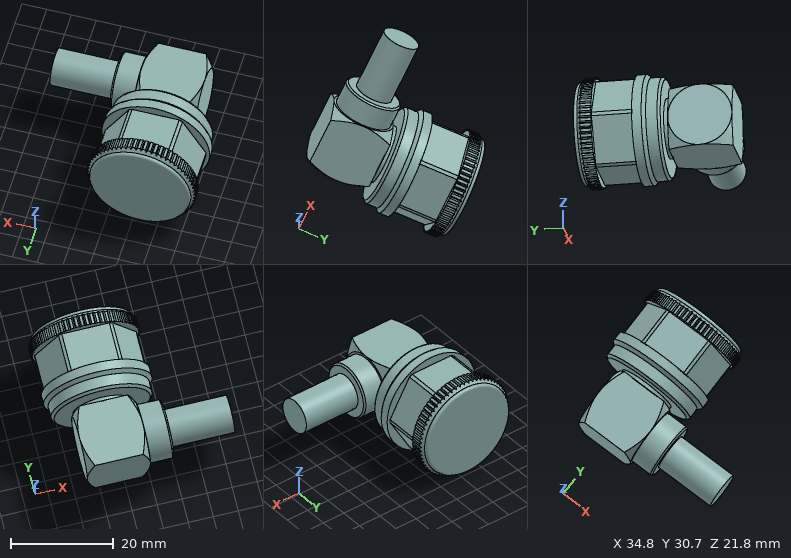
import cadquery as cq
import math


overall_length = 34.75

block_side = 12.7
corner_cone_angle = 30.0
neck_radius = 5.9
neck_length = 0.87
collar_radius = 5.85
collar_end_x = 11.2
collar_chamfer = 0.35
ferrule_radius = 3.75

nut_diameter = 21.8
nose_radius = 10.15
nose_length = 2.78
nose_chamfer = 0.52
flange_length = 2.65
hex_length = 8.05
hex_across_flats = 18.0
hex_corner_radius = 10.2
knurl_length = 2.15
lip_radius = 10.2
lip_length = 0.8
lip_fillet = 0.52
groove_count = 65
groove_depth = 0.28
groove_width = 0.5

half_block = block_side / 2
nut_radius = nut_diameter / 2
ferrule_end_x = overall_length - nut_radius
nut_start_y = half_block + neck_length
nose_end_y = nut_start_y + nose_length
hex_start_y = nose_end_y + flange_length
knurl_start_y = hex_start_y + hex_length
knurl_end_y = knurl_start_y + knurl_length
cone_end_y = knurl_end_y + nut_radius - lip_radius
nut_end_y = cone_end_y + lip_length


def disc_along_y(start, end, radius):
    """Cylinder on the Y axis."""
    return cq.Workplane("XZ", origin=(0, start, 0)).circle(radius).extrude(start - end)


def disc_along_x(start, end, radius):
    """Cylinder on the X axis."""
    return cq.Workplane("YZ", origin=(start, 0, 0)).circle(radius).extrude(end - start)


def make_block():
    """Cube whose two X ends are turned to a cone that leaves a round face on each."""
    corner_radius = half_block * math.sqrt(2)
    cone_depth = (corner_radius - half_block) * math.tan(math.radians(corner_cone_angle))
    envelope = (
        cq.Workplane("XY")
        .moveTo(-half_block, 0)
        .lineTo(-half_block, half_block)
        .lineTo(-half_block + cone_depth, corner_radius)
        .lineTo(half_block - cone_depth, corner_radius)
        .lineTo(half_block, half_block)
        .lineTo(half_block, 0)
        .close()
        .revolve(360, (0, 0, 0), (1, 0, 0))
    )
    return cq.Workplane("XY").box(block_side, block_side, block_side).intersect(envelope)


def make_elbow():
    """Block with the neck, the collar and the cable ferrule."""
    neck = disc_along_y(half_block, nut_start_y, neck_radius)
    collar = disc_along_x(half_block, collar_end_x, collar_radius).faces(">X").chamfer(collar_chamfer)
    ferrule = disc_along_x(collar_end_x, ferrule_end_x, ferrule_radius)
    return make_block().union(neck).union(collar).union(ferrule)


def make_nose():
    """Chamfered nose and the flange it widens into through a 45 degree cone."""
    flange_step = nut_radius - nose_radius
    return (
        cq.Workplane("XY")
        .moveTo(0, nut_start_y)
        .lineTo(nose_radius - nose_chamfer, nut_start_y)
        .lineTo(nose_radius, nut_start_y + nose_chamfer)
        .lineTo(nose_radius, nose_end_y)
        .lineTo(nut_radius, nose_end_y + flange_step)
        .lineTo(nut_radius, hex_start_y)
        .lineTo(0, hex_start_y)
        .close()
        .revolve(360, (0, 0, 0), (0, 1, 0))
    )


def make_hex():
    """Wrench hexagon with flats on +Z and -Z and corners turned to a cylinder."""
    corner_diameter = hex_across_flats / math.cos(math.pi / 6)
    prism = (
        cq.Workplane("XZ", origin=(0, hex_start_y, 0))
        .polygon(6, corner_diameter)
        .extrude(-hex_length)
    )
    return prism.intersect(disc_along_y(hex_start_y, knurl_start_y, hex_corner_radius))


def make_knurl_grooves():
    """V-shaped cutters spread evenly around the ring, the first one at +Z."""
    cutter_depth = 2 * groove_depth
    cutter_width = 2 * groove_width
    groove_bottom = nut_radius - groove_depth
    cutter_top = groove_bottom + cutter_depth
    cutter = (
        cq.Workplane("XZ", origin=(0, knurl_start_y, 0))
        .moveTo(0, groove_bottom)
        .lineTo(cutter_width / 2, cutter_top)
        .lineTo(-cutter_width / 2, cutter_top)
        .close()
        .extrude(knurl_start_y - cone_end_y)
        .val()
    )
    pitch = 360 / groove_count
    cutters = [cutter.rotate((0, 0, 0), (0, 1, 0), i * pitch) for i in range(groove_count)]
    return cq.Compound.makeCompound(cutters)


def make_knurl_ring():
    """Ring with a 45 degree cone at its far end, narrowing to a rounded lip."""
    ring = (
        cq.Workplane("XY")
        .moveTo(0, knurl_start_y)
        .lineTo(nut_radius, knurl_start_y)
        .lineTo(nut_radius, knurl_end_y)
        .lineTo(lip_radius, cone_end_y)
        .lineTo(lip_radius, nut_end_y - lip_fillet)
        .radiusArc((lip_radius - lip_fillet, nut_end_y), -lip_fillet)
        .lineTo(0, nut_end_y)
        .close()
        .revolve(360, (0, 0, 0), (0, 1, 0))
    )
    return ring.cut(make_knurl_grooves())


def make_coupling_nut():
    """Nut as one solid: nose and flange, hexagon, knurled ring."""
    return make_nose().union(make_hex()).union(make_knurl_ring())


elbow = make_elbow()
coupling_nut = make_coupling_nut()
result = cq.Compound.makeCompound([elbow.val(), coupling_nut.val()])